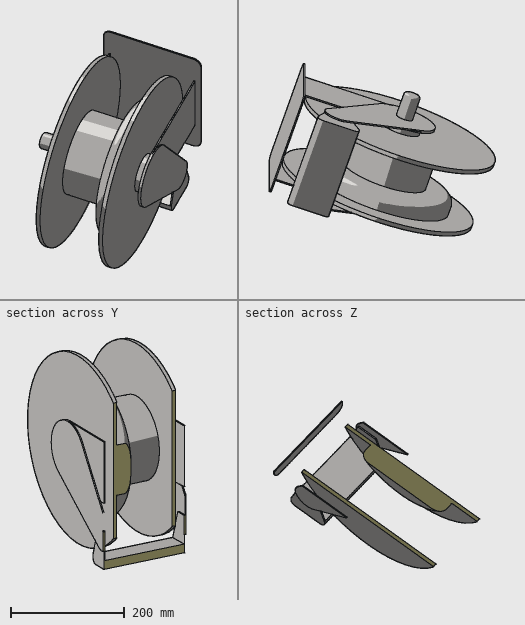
import cadquery as cq
import math


overall_width = 222.5
overall_depth = 365.5
overall_height = 357.5

disc_diameter = 352.0
disc_thickness = 7.5
disc_inner_x = 56.0
disc_outer_x = disc_inner_x + disc_thickness
drum_diameter = 155.0
hub_diameter = 70.0
spring_case_diameter = 260.0
spring_case_width = 30.7
spring_case_fillet = spring_case_width / 2

sheet = 2.5
arm_inner_x = 79.5
link_inner_x = arm_inner_x + sheet

plate_width = 186.0
plate_height = 226.5
plate_corner_radius = 15.0
plate_back_y = overall_depth - disc_diameter / 2
plate_front_y = plate_back_y - sheet
arm_radius = 57.5

spindle_diameter = 30.0
spindle_length = overall_width - plate_width / 2
spindle_fillet = 5.0

link_length = 171.0
link_angle = math.radians(45)
link_end_radius = 26.3
link_end_y = link_length * math.cos(link_angle)

guide_top_z = -110.5
guide_top_width = 40.2
guide_bottom_z = disc_diameter / 2 - overall_height
guide_bottom_width = 76.5
guide_bar_height = 17.0
guide_corner_radius = 10.0
guide_bar_top_z = guide_bottom_z + guide_bar_height


def x_cylinder(diameter, x_start, x_end):
    """Cylinder on the spool axis between two X positions."""
    return cq.Workplane("YZ", origin=(x_start, 0, 0)).circle(diameter / 2).extrude(x_end - x_start)


def both_sides(body):
    """Body together with its mirror image across X = 0."""
    return body.union(body.mirror("YZ"))


def make_spool():
    drum = x_cylinder(drum_diameter, -disc_inner_x, disc_inner_x)
    disc = x_cylinder(disc_diameter, disc_inner_x, disc_outer_x)
    hub = x_cylinder(hub_diameter, disc_outer_x, arm_inner_x)
    spring_case = x_cylinder(spring_case_diameter, disc_inner_x - spring_case_width, disc_inner_x)
    spring_case = spring_case.faces("<X").edges().fillet(spring_case_fillet)
    return drum.union(both_sides(disc.union(hub))).union(spring_case)


def make_spindle():
    spindle = x_cylinder(spindle_diameter, -spindle_length, -link_inner_x)
    return spindle.faces("<X").edges().fillet(spindle_fillet)


def make_wall_plate():
    plate = cq.Workplane("XY").box(plate_width, sheet, plate_height)
    plate = plate.edges("|Y").fillet(plate_corner_radius)
    return plate.translate((0, plate_back_y - sheet / 2, 0))


def make_arm():
    """Support arm from the wall plate, rounded around the spool axis."""
    return (
        cq.Workplane("YZ", origin=(arm_inner_x, 0, 0))
        .moveTo(plate_front_y, arm_radius)
        .lineTo(0, arm_radius)
        .threePointArc((-arm_radius, 0), (0, -arm_radius))
        .lineTo(plate_front_y, -arm_radius)
        .close()
        .extrude(sheet)
    )


def make_link():
    """Tapered link: two round ends joined by their outer tangents."""
    tangent_cos = (arm_radius - link_end_radius) / link_length
    tangent_sin = math.sqrt(1 - tangent_cos**2)
    link = (
        cq.Workplane("YZ", origin=(link_inner_x, 0, 0))
        .moveTo(arm_radius * tangent_cos, arm_radius * tangent_sin)
        .threePointArc((-arm_radius, 0), (arm_radius * tangent_cos, -arm_radius * tangent_sin))
        .lineTo(link_length + link_end_radius * tangent_cos, -link_end_radius * tangent_sin)
        .threePointArc(
            (link_length + link_end_radius, 0),
            (link_length + link_end_radius * tangent_cos, link_end_radius * tangent_sin),
        )
        .close()
        .extrude(sheet)
    )
    return link.rotate((0, 0, 0), (1, 0, 0), -math.degrees(link_angle))


def make_guide():
    """Trapezoid end sheets joined along the bottom by a bar."""
    outline = (
        cq.Workplane("YZ", origin=(-link_inner_x, link_end_y, 0))
        .moveTo(-guide_top_width / 2, guide_top_z)
        .lineTo(guide_top_width / 2, guide_top_z)
        .lineTo(guide_bottom_width / 2, guide_bar_top_z)
        .lineTo(guide_bottom_width / 2, guide_bottom_z)
        .lineTo(-guide_bottom_width / 2, guide_bottom_z)
        .lineTo(-guide_bottom_width / 2, guide_bar_top_z)
        .close()
    )
    guide = outline.extrude(2 * link_inner_x)
    guide = guide.faces("<Z").edges("|X").fillet(guide_corner_radius)
    opening_height = guide_top_z - guide_bar_top_z
    opening = cq.Workplane("XY").box(2 * arm_inner_x, guide_bottom_width, opening_height)
    return guide.cut(opening.translate((0, link_end_y, guide_bar_top_z + opening_height / 2)))


result = (
    make_spool()
    .union(make_spindle())
    .union(make_wall_plate())
    .union(both_sides(make_arm().union(make_link())))
    .union(make_guide())
)